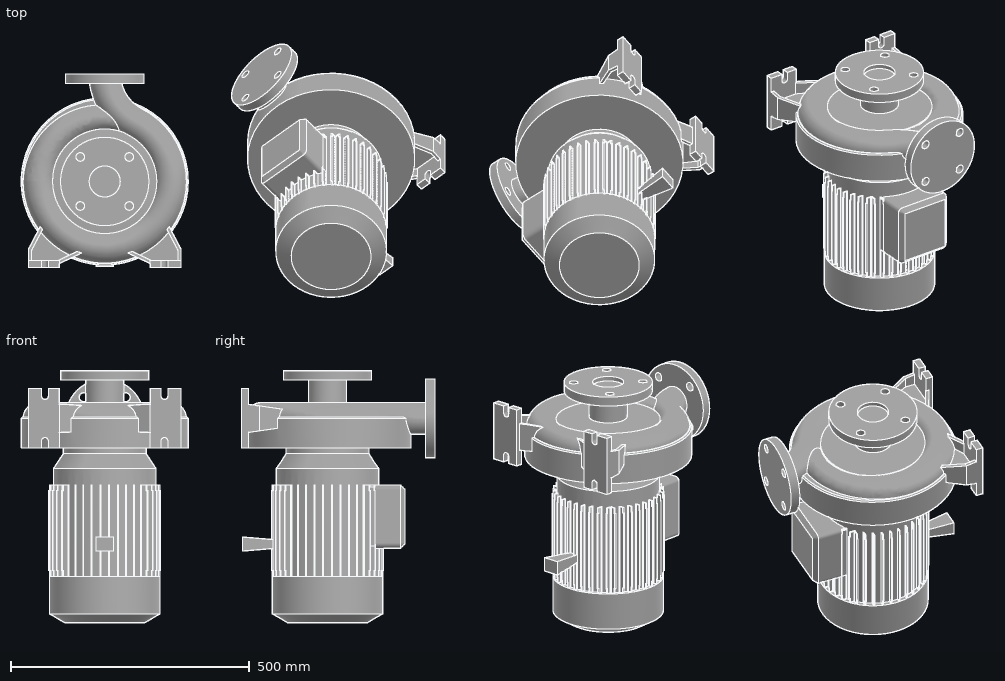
import cadquery as cq
import math


SUCTION_FACE_Z = 100.0
SUCTION_FLANGE_DIAMETER = 185.0
SUCTION_BOLT_CIRCLE = 145.0
SUCTION_BORE_DIAMETER = 65.0
SUCTION_BORE_DEPTH = 10.0
NECK_DIAMETER = 80.0

DISCHARGE_FACE_Y = 225.0
DISCHARGE_FLANGE_DIAMETER = 165.0
DISCHARGE_BOLT_CIRCLE = 125.0

FLANGE_THICKNESS = 20.0
BOLT_HOLE_DIAMETER = 18.0
BOLT_COUNT = 4
FIRST_BOLT_ANGLE = 45.0

VOLUTE_RADIUS = 137.5
TUBE_RADIUS = 33.5
TAPER_STEPS = 4
TONGUE_CENTRE_RADIUS = 132.0
TONGUE_TUBE_RADIUS = 25.0
COVER_RADIUS = 110.0
COVER_EDGE_Z = 17.5
COVER_NECK_Z = 23.0

CASING_RADIUS = 175.0
CASING_BOTTOM_Z = -62.5
CASING_TOP_Z = 3.0
CASING_CHAMFER = 3.0

ADAPTER_RADIUS = 87.0
ADAPTER_BOTTOM_Z = -74.0
BODY_RADIUS = 107.5
BODY_TOP_Z = -105.0
FIN_TOP_Z = -139.0
FIN_BOTTOM_Z = -330.5
FIN_TIP_RADIUS = 117.5
FIN_END_RADIUS = 116.0
FIN_STEP_LENGTH = 12.0
FIN_THICKNESS = 2.0
FINS_PER_SIDE = 10
END_BELL_RADIUS = FIN_END_RADIUS
END_CHAMFER_Z = -409.0
MOTOR_BOTTOM_Z = -428.0
END_FACE_RADIUS = 83.5

BOX_WIDTH = 124.0
BOX_FACE_Y = 162.5
BOX_BOTTOM_Z = -272.0
BOX_CHAMFER = 10.0
BOX_FILLET = 10.5

STUB_CENTRE_Z = -263.0
STUB_END_Y = -178.0
STUB_ROOT_Y = -100.0
STUB_END_WIDTH = 36.5
STUB_END_HEIGHT = 30.0
STUB_ROOT_WIDTH = 18.0
STUB_ROOT_HEIGHT = 17.0

FOOT_FACE_Y = -180.0
FOOT_THICKNESS = 15.0
FOOT_OUTER_X = 160.0
FOOT_WIDTH = 65.0
FOOT_HEIGHT = 125.0
SLOT_X = 125.0
SLOT_WIDTH = 14.0
SLOT_DEPTH = 22.5
WEB_THICKNESS = 7.0
WEB_HALF_HEIGHT_AT_FOOT = 29.5
WEB_SLOPE = 0.146
WEB_BEND_Y = -142.0
WEB_REAR_Y = -79.0
OUTER_WEB_END = (127.0, WEB_REAR_Y)
INNER_WEB_END = (40.0, -145.5)


def cylinder(radius, bottom_z, top_z):
    return cq.Workplane("XY").workplane(offset=bottom_z).circle(radius).extrude(top_z - bottom_z)


def flange(diameter, bolt_circle):
    """Flange with its outer face on the XY plane, its body below and bolt holes on the diagonals."""
    disc = cylinder(diameter / 2, -FLANGE_THICKNESS, 0)
    holes = (
        cq.Workplane("XY")
        .polarArray(bolt_circle / 2, FIRST_BOLT_ANGLE, 360, BOLT_COUNT)
        .circle(BOLT_HOLE_DIAMETER / 2)
        .extrude(-FLANGE_THICKNESS)
    )
    return disc.cut(holes)


def ring_point(radius, angle):
    return (radius * math.cos(angle), radius * math.sin(angle))


def tube_section(centre_radius, angle, tube_radius):
    """Round section in the radial plane at the given angle."""
    x, y = ring_point(centre_radius, angle)
    plane = cq.Plane(
        origin=(x, y, 0),
        xDir=(math.cos(angle), math.sin(angle), 0),
        normal=(-math.sin(angle), math.cos(angle), 0),
    )
    return cq.Workplane(plane).circle(tube_radius)


def volute():
    exit_angle = 2 * math.atan(VOLUTE_RADIUS / DISCHARGE_FACE_Y)
    turn_radius = VOLUTE_RADIUS * math.cos(exit_angle) / (1 - math.cos(exit_angle))
    exit_point = ring_point(VOLUTE_RADIUS, exit_angle)
    turn_mid_angle = exit_angle / 2
    turn_mid = (
        turn_radius * (1 - math.cos(turn_mid_angle)),
        DISCHARGE_FACE_Y - turn_radius * math.sin(turn_mid_angle),
    )

    ring_mid = ring_point(VOLUTE_RADIUS, (exit_angle - math.pi) / 2)
    ring_path = (
        cq.Workplane("XY")
        .moveTo(-VOLUTE_RADIUS, 0)
        .threePointArc(ring_mid, exit_point)
        .threePointArc(turn_mid, (0, DISCHARGE_FACE_Y))
    )
    ring = tube_section(VOLUTE_RADIUS, math.pi, TUBE_RADIUS).sweep(ring_path)

    sections = []
    for step in range(TAPER_STEPS + 1):
        share = step / TAPER_STEPS
        angle = math.pi + share * (exit_angle - math.pi)
        centre_radius = VOLUTE_RADIUS + share * (TONGUE_CENTRE_RADIUS - VOLUTE_RADIUS)
        tube_radius = TUBE_RADIUS + share * (TONGUE_TUBE_RADIUS - TUBE_RADIUS)
        sections.append(tube_section(centre_radius, angle, tube_radius).wires().val())
    taper = cq.Workplane(cq.Solid.makeLoft(sections))
    return ring.union(taper)


def casing():
    back = cylinder(CASING_RADIUS, CASING_BOTTOM_Z, CASING_TOP_Z).faces(">Z").chamfer(CASING_CHAMFER)
    cover = (
        cq.Workplane("XZ")
        .moveTo(0, 0)
        .lineTo(COVER_RADIUS, 0)
        .lineTo(COVER_RADIUS, COVER_EDGE_Z)
        .lineTo(NECK_DIAMETER / 2, COVER_NECK_Z)
        .lineTo(0, COVER_NECK_Z)
        .close()
        .revolve(360, (0, 0, 0), (0, 1, 0))
    )
    return back.union(cover)


def suction():
    neck = cylinder(NECK_DIAMETER / 2, 0, SUCTION_FACE_Z - FLANGE_THICKNESS)
    face = flange(SUCTION_FLANGE_DIAMETER, SUCTION_BOLT_CIRCLE).translate((0, 0, SUCTION_FACE_Z))
    bore = cylinder(SUCTION_BORE_DIAMETER / 2, SUCTION_FACE_Z - SUCTION_BORE_DEPTH, SUCTION_FACE_Z)
    return neck.union(face).cut(bore)


def discharge_flange():
    face = flange(DISCHARGE_FLANGE_DIAMETER, DISCHARGE_BOLT_CIRCLE)
    return face.rotate((0, 0, 0), (1, 0, 0), -90).translate((0, DISCHARGE_FACE_Y, 0))


def motor_body():
    return (
        cq.Workplane("XZ")
        .moveTo(0, CASING_BOTTOM_Z)
        .lineTo(ADAPTER_RADIUS, CASING_BOTTOM_Z)
        .lineTo(ADAPTER_RADIUS, ADAPTER_BOTTOM_Z)
        .lineTo(BODY_RADIUS, BODY_TOP_Z)
        .lineTo(BODY_RADIUS, FIN_BOTTOM_Z)
        .lineTo(END_BELL_RADIUS, FIN_BOTTOM_Z)
        .lineTo(END_BELL_RADIUS, END_CHAMFER_Z)
        .lineTo(END_FACE_RADIUS, MOTOR_BOTTOM_Z)
        .lineTo(0, MOTOR_BOTTOM_Z)
        .close()
        .revolve(360, (0, 0, 0), (0, 1, 0))
    )


def cooling_fins():
    """Four groups of parallel fins, trimmed to a round envelope that is stepped in at both ends."""
    envelope = (
        cq.Workplane("XZ")
        .moveTo(0, FIN_TOP_Z)
        .lineTo(FIN_END_RADIUS, FIN_TOP_Z)
        .lineTo(FIN_END_RADIUS, FIN_TOP_Z - FIN_STEP_LENGTH)
        .lineTo(FIN_TIP_RADIUS, FIN_TOP_Z - FIN_STEP_LENGTH)
        .lineTo(FIN_TIP_RADIUS, FIN_BOTTOM_Z + FIN_STEP_LENGTH)
        .lineTo(FIN_END_RADIUS, FIN_BOTTOM_Z + FIN_STEP_LENGTH)
        .lineTo(FIN_END_RADIUS, FIN_BOTTOM_Z)
        .lineTo(0, FIN_BOTTOM_Z)
        .close()
        .revolve(360, (0, 0, 0), (0, 1, 0))
    )
    fin_pitch = 90 / FINS_PER_SIDE
    fin_length = FIN_TOP_Z - FIN_BOTTOM_Z
    finned_core = cylinder(BODY_RADIUS, FIN_BOTTOM_Z, FIN_TOP_Z)
    for index in range(FINS_PER_SIDE // 2):
        angle = math.radians((index + 0.5) * fin_pitch)
        offset = FIN_TIP_RADIUS * math.sin(angle)
        for side in (-1, 1):
            plate = cq.Workplane("XY").box(
                2 * FIN_TIP_RADIUS, FIN_THICKNESS, fin_length, centered=(True, True, False)
            )
            plate = plate.translate((0, side * offset, FIN_BOTTOM_Z))
            crossing_plate = plate.rotate((0, 0, 0), (0, 0, 1), 90)
            finned_core = finned_core.union(plate).union(crossing_plate)
    return finned_core.intersect(envelope)


def terminal_box():
    height = FIN_TOP_Z - BOX_BOTTOM_Z
    box = cq.Workplane("XY").box(BOX_WIDTH, BOX_FACE_Y, height, centered=(True, False, False))
    box = box.edges("|Y").fillet(BOX_FILLET).faces(">Y").chamfer(BOX_CHAMFER)
    return box.translate((0, 0, BOX_BOTTOM_Z))


def support_stub():
    return (
        cq.Workplane("XZ", origin=(0, STUB_END_Y, STUB_CENTRE_Z))
        .rect(STUB_END_WIDTH, STUB_END_HEIGHT)
        .workplane(offset=STUB_END_Y - STUB_ROOT_Y)
        .rect(STUB_ROOT_WIDTH, STUB_ROOT_HEIGHT)
        .loft()
    )


def foot_slot(end):
    """Round-ended slot open at the top (end = 1) or bottom (end = -1) edge of the foot plate."""
    centre_z = FOOT_HEIGHT / 2 - SLOT_DEPTH + SLOT_WIDTH / 2
    edge_z = FOOT_HEIGHT / 2
    return (
        cq.Workplane("XZ", origin=(0, FOOT_FACE_Y, 0))
        .moveTo(SLOT_X - SLOT_WIDTH / 2, end * edge_z)
        .lineTo(SLOT_X - SLOT_WIDTH / 2, end * centre_z)
        .threePointArc((SLOT_X, end * (edge_z - SLOT_DEPTH)), (SLOT_X + SLOT_WIDTH / 2, end * centre_z))
        .lineTo(SLOT_X + SLOT_WIDTH / 2, end * edge_z)
        .close()
        .extrude(-FOOT_THICKNESS)
    )


def foot():
    """Slotted plate on the +X side, tied to the casing by two webs and a floor between them."""
    back_y = FOOT_FACE_Y + FOOT_THICKNESS
    inner_x = FOOT_OUTER_X - FOOT_WIDTH
    plate = cq.Workplane("XY").box(FOOT_WIDTH, FOOT_THICKNESS, FOOT_HEIGHT, centered=(False, False, True))
    plate = plate.translate((inner_x, FOOT_FACE_Y, 0))
    for end in (-1, 1):
        plate = plate.cut(foot_slot(end))

    plan_outline = [
        (FOOT_OUTER_X, back_y),
        (FOOT_OUTER_X, WEB_BEND_Y),
        OUTER_WEB_END,
        INNER_WEB_END,
        (inner_x, back_y - WEB_THICKNESS),
        (FOOT_OUTER_X, back_y - WEB_THICKNESS),
    ]
    plan = cq.Workplane("XY").polyline(plan_outline).close().wires().val()
    pocket_plan = plan.offset2D(-WEB_THICKNESS, "intersection")[0]
    block = cq.Workplane("XY").add(plan).toPending().extrude(FOOT_HEIGHT / 2, both=True)
    floor = cq.Workplane("XY").add(plan).toPending().extrude(WEB_THICKNESS / 2, both=True)
    pocket = cq.Workplane("XY").add(pocket_plan).toPending().extrude(FOOT_HEIGHT / 2, both=True)
    rear_half_height = WEB_HALF_HEIGHT_AT_FOOT - WEB_SLOPE * (WEB_REAR_Y - back_y)
    side_profile = (
        cq.Workplane("YZ")
        .moveTo(back_y, WEB_HALF_HEIGHT_AT_FOOT)
        .lineTo(WEB_REAR_Y, rear_half_height)
        .lineTo(WEB_REAR_Y, -rear_half_height)
        .lineTo(back_y, -WEB_HALF_HEIGHT_AT_FOOT)
        .lineTo(FOOT_FACE_Y, -WEB_HALF_HEIGHT_AT_FOOT)
        .lineTo(FOOT_FACE_Y, WEB_HALF_HEIGHT_AT_FOOT)
        .close()
        .extrude(FOOT_OUTER_X)
    )
    webs = block.cut(pocket).union(floor).intersect(side_profile)
    return plate.union(webs)


right_foot = foot()
left_foot = right_foot.mirror("YZ")

result = casing().union(volute())
result = result.union(suction()).union(discharge_flange())
result = result.union(right_foot).union(left_foot)
result = result.union(motor_body()).union(cooling_fins())
result = result.union(terminal_box()).union(support_stub())